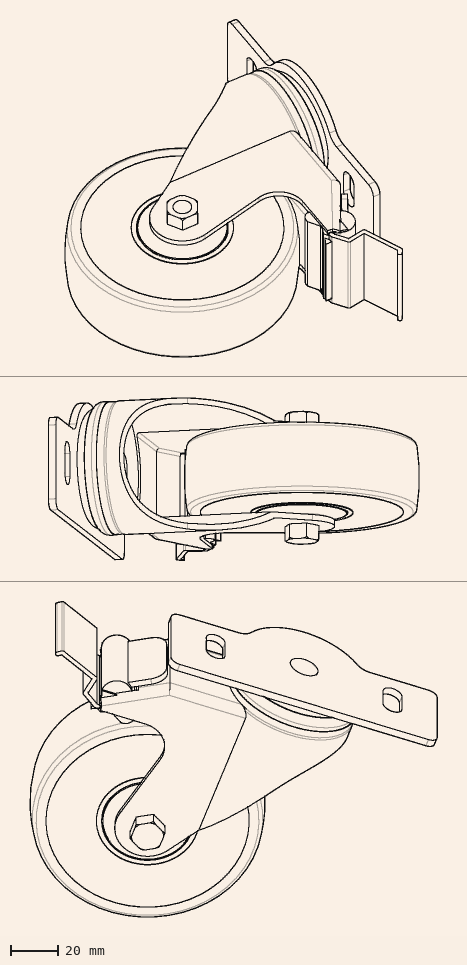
import cadquery as cq
import math


PLATE_LENGTH = 120.0
PLATE_HEIGHT = 40.0
PLATE_THICKNESS = 3.3
PLATE_CORNER_R = 4.0
BUMP_R = 28.2
BUMP_FILLET_R = 7.0
SLOT_SPACING = 79.7
SLOT_WIDTH = 8.5
SLOT_LENGTH = 18.5
SLOT_Z = -5.0
DOME_TOP_R = 22.9
DOME_BASE_R = 25.98
DOME_BASE_Y = -7.3
RING_TOP_R = 26.4
RING_R = 28.47
RING_EDGE_Y = -11.0
RING_BOTTOM_Y = -13.1
KINGPIN_BORE_D = 12.5
KINGPIN_RELIEF_D = 13.1
KINGPIN_RELIEF_DEPTH = 1.0

SHEET = 2.5
FORK_R = 28.47
FORK_HALF_WIDTH = 21.0
FORK_NECK_R = 28.2
FORK_TOP_Y = -16.5
FORK_NECK_LIP = 1.0
RACE_BOTTOM_Y = -18.0
BEND_OUTER_R = 3.8
KINK_X = 54.6
WEB_SLOPE = 30.0
WEB_SLOPE_LENGTH = 30.2
NOSE_X = 78.5
NOSE_BOTTOM_Y = -37.2
FRONT_RIM_Y = -23.2
FRONT_EDGE_SLOPE = 57.0
FRONT_EDGE_TOP_X = -2.3
BACK_EDGE_LEAN = 13.0
BACK_FILLET_R = 12.0
LOBE_R = 14.0
WEB_SLOT_X = 66.4

AXLE_X = 40.0
AXLE_Y = -86.0
WHEEL_R = 50.0
SHOULDER_R = 49.0
SHOULDER_Z = 13.3
EDGE_MIDDLE_R = 48.5
EDGE_MIDDLE_Z = 14.3
FACE_OUTER_R = 47.3
FACE_Z = 14.8
CORE_R = 43.2
CORE_Z = 15.0
BOSS_R = 21.7
BOSS_Z = 15.3
GROOVE_OUTER_R = 19.5
GROOVE_INNER_R = 19.0
GROOVE_DEPTH = 1.0
CONE_BASE_Z = 15.5
CONE_TOP_R = 12.1
CONE_TOP_Z = 17.8
SPACER_R = 9.71
BOLT_D = 8.0
HEX_ACROSS_FLATS = 13.0
HEX_HEIGHT = 6.5
HEX_CHAMFER = 0.7

LEVER_HALF_WIDTH = 19.5
HUB_X = 74.4
HUB_Y = -28.5
HUB_R = 6.55
TAB_HALF_WIDTH = 16.6
TAB_THICKNESS = 2.7
TAB_GAP = 0.3
TAB_CORNER_R = 6.8
TAB_START = 1.0
TAB_LENGTH = 18.3
PEDAL_HALF_WIDTH = 20.0
PEDAL_THICKNESS = 2.0
LIP_HALF_WIDTH = 17.1

CHEEK_INNER_Z = FORK_HALF_WIDTH - SHEET
FORK_INNER_R = FORK_R - SHEET
SLOPE_COS = math.cos(math.radians(WEB_SLOPE))
SLOPE_SIN = math.sin(math.radians(WEB_SLOPE))
FAR = 166.0

WEB_END_X = KINK_X + WEB_SLOPE_LENGTH * SLOPE_COS
WEB_END_Y = FORK_TOP_Y - WEB_SLOPE_LENGTH * SLOPE_SIN


def slab(points, half_width):
    """Prism with an XY outline, centred on the wheel's mid plane."""
    return cq.Workplane("XY").polyline(points).close().extrude(half_width, both=True)


def disc(radius, top_y, bottom_y):
    """Cylinder about the swivel axis."""
    return cq.Workplane("XZ", origin=(0, top_y, 0)).circle(radius).extrude(top_y - bottom_y)


def bump_fillet():
    """Material in the concave corners where the plate's straight edge meets its round bulge."""
    edge_z = PLATE_HEIGHT - BUMP_R
    centre_z = edge_z + BUMP_FILLET_R
    reach = BUMP_R + BUMP_FILLET_R
    centre_x = math.sqrt(reach**2 - centre_z**2)
    ratio = BUMP_R / reach
    touch = (centre_x * ratio, centre_z * ratio)
    middle_angle = (math.pi / 2 + math.atan2(centre_z, centre_x)) / 2
    middle_x = centre_x - BUMP_FILLET_R * math.cos(middle_angle)
    middle_z = centre_z - BUMP_FILLET_R * math.sin(middle_angle)
    corner = (
        cq.Workplane("XZ")
        .moveTo(0, 0)
        .lineTo(*touch)
        .threePointArc((middle_x, middle_z), (centre_x, edge_z))
        .lineTo(centre_x, 0)
        .close()
        .extrude(PLATE_THICKNESS)
    )
    return corner.union(corner.mirror("YZ"))


def make_plate():
    middle_z = PLATE_HEIGHT / 2 - BUMP_R
    plate = (
        cq.Workplane("XZ")
        .center(0, middle_z)
        .rect(PLATE_LENGTH, PLATE_HEIGHT)
        .extrude(PLATE_THICKNESS)
        .edges("|Y")
        .fillet(PLATE_CORNER_R)
    )
    plate = plate.union(disc(BUMP_R, 0, -PLATE_THICKNESS)).union(bump_fillet())
    slots = (
        cq.Workplane("XZ")
        .pushPoints([(-SLOT_SPACING / 2, SLOT_Z), (SLOT_SPACING / 2, SLOT_Z)])
        .slot2D(SLOT_LENGTH, SLOT_WIDTH, 90)
        .extrude(PLATE_THICKNESS)
    )
    race = (
        cq.Workplane("XY")
        .moveTo(0, -PLATE_THICKNESS)
        .lineTo(DOME_TOP_R, -PLATE_THICKNESS)
        .threePointArc((25.0, -5.1), (DOME_BASE_R, DOME_BASE_Y))
        .lineTo(RING_TOP_R, DOME_BASE_Y)
        .threePointArc((27.9, -8.8), (RING_R, RING_EDGE_Y))
        .lineTo(RING_R, RING_BOTTOM_Y)
        .lineTo(0, RING_BOTTOM_Y)
        .close()
        .revolve(360, (0, 0, 0), (0, 1, 0))
    )
    bore = disc(KINGPIN_BORE_D / 2, 0, RING_BOTTOM_Y)
    relief = disc(KINGPIN_RELIEF_D / 2, RING_BOTTOM_Y + KINGPIN_RELIEF_DEPTH, RING_BOTTOM_Y)
    return plate.cut(slots).union(race).cut(bore).cut(relief)


def fork_side_outline():
    """Side silhouette of the fork: front edge, lobe around the axle, back edge, nose and top."""
    front = math.radians(FRONT_EDGE_SLOPE)
    back = math.radians(BACK_EDGE_LEAN)
    front_touch = (AXLE_X - LOBE_R * math.sin(front), AXLE_Y - LOBE_R * math.cos(front))
    back_touch = (AXLE_X + LOBE_R * math.cos(back), AXLE_Y + LOBE_R * math.sin(back))
    front_top_y = front_touch[1] + (front_touch[0] - FRONT_EDGE_TOP_X) * math.tan(front)
    corner_x = back_touch[0] - (NOSE_BOTTOM_Y - back_touch[1]) * math.tan(back)
    setback = BACK_FILLET_R * math.tan((math.pi / 2 + back) / 2)
    fillet_low = (corner_x + setback * math.sin(back), NOSE_BOTTOM_Y - setback * math.cos(back))
    return (
        cq.Workplane("XY")
        .moveTo(FAR, NOSE_BOTTOM_Y)
        .lineTo(corner_x + setback, NOSE_BOTTOM_Y)
        .tangentArcPoint(fillet_low, relative=False)
        .lineTo(*back_touch)
        .threePointArc((AXLE_X, AXLE_Y - LOBE_R), front_touch)
        .lineTo(FRONT_EDGE_TOP_X, front_top_y)
        .tangentArcPoint((-FORK_R, FRONT_RIM_Y), relative=False)
        .lineTo(-FORK_R, RING_BOTTOM_Y)
        .lineTo(FAR, RING_BOTTOM_Y)
        .close()
        .extrude(FORK_R, both=True)
    )


def bent_sheet_box(drop, half_width, bend_r):
    """Box under the top web, `drop` below its outer face, with rounded bends along both sides."""
    kink_x = KINK_X - drop * math.tan(math.radians(WEB_SLOPE / 2))
    top_y = FORK_TOP_Y - drop
    slope_length = (FAR - kink_x) / SLOPE_COS
    box = slab(
        [
            (0, top_y),
            (kink_x, top_y),
            (FAR, top_y - slope_length * SLOPE_SIN),
            (FAR, -FAR),
            (0, -FAR),
        ],
        half_width,
    )
    return box.edges("(>Y and |X) or (not(|X or |Y or |Z))").fillet(bend_r)


def make_fork():
    swivel_shell = disc(FORK_R, FORK_TOP_Y - FORK_NECK_LIP, -FAR)
    neck = disc(FORK_NECK_R, RING_BOTTOM_Y, FORK_TOP_Y)
    neck = neck.faces("<Y").workplane().circle(FORK_NECK_R).workplane(offset=FORK_NECK_LIP)
    neck = neck.circle(FORK_R).loft(ruled=True)
    web_end = slab(
        [
            (WEB_END_X, WEB_END_Y),
            (WEB_END_X - BEND_OUTER_R * SLOPE_SIN, WEB_END_Y - BEND_OUTER_R * SLOPE_COS),
            (NOSE_X, NOSE_BOTTOM_Y),
            (NOSE_X, -FAR),
            (FAR, -FAR),
            (FAR, WEB_END_Y),
        ],
        FORK_R,
    )
    sheet_body = bent_sheet_box(0, FORK_HALF_WIDTH, BEND_OUTER_R).cut(web_end)
    body = swivel_shell.union(neck).union(sheet_body).intersect(fork_side_outline())

    race_recess = disc(FORK_INNER_R, RACE_BOTTOM_Y, -FAR)
    cavity = bent_sheet_box(SHEET, CHEEK_INNER_Z, BEND_OUTER_R - SHEET)
    web_slot = slab([(WEB_SLOT_X, 0), (FAR, 0), (FAR, -FAR), (WEB_SLOT_X, -FAR)], CHEEK_INNER_Z)
    kingpin_bore = disc(KINGPIN_BORE_D / 2, 0, -FAR)
    axle_bore = cq.Workplane("XY").center(AXLE_X, AXLE_Y).circle(BOLT_D / 2).extrude(FAR, both=True)
    return body.cut(race_recess).cut(cavity).cut(web_slot).cut(kingpin_bore).cut(axle_bore)


def make_wheel():
    """Crowned wheel with a raised core, hub boss and domed spacer, bored for the bolt."""
    bore_r = BOLT_D / 2
    side_steps = [
        (bore_r, CHEEK_INNER_Z),
        (SPACER_R, CHEEK_INNER_Z),
        (CONE_TOP_R, CONE_TOP_Z),
        (GROOVE_INNER_R, CONE_BASE_Z),
        (GROOVE_INNER_R, BOSS_Z - GROOVE_DEPTH),
        (GROOVE_OUTER_R, BOSS_Z - GROOVE_DEPTH),
        (GROOVE_OUTER_R, BOSS_Z),
        (BOSS_R, BOSS_Z),
        (BOSS_R, CORE_Z),
        (CORE_R, CORE_Z),
        (CORE_R, FACE_Z),
        (FACE_OUTER_R, FACE_Z),
    ]
    far_steps = [(r, -z) for r, z in reversed(side_steps)]
    profile = (
        cq.Workplane("XZ")
        .polyline(side_steps)
        .threePointArc((EDGE_MIDDLE_R, EDGE_MIDDLE_Z), (SHOULDER_R, SHOULDER_Z))
        .threePointArc((WHEEL_R, 0), (SHOULDER_R, -SHOULDER_Z))
        .threePointArc((EDGE_MIDDLE_R, -EDGE_MIDDLE_Z), far_steps[0])
        .polyline(far_steps, includeCurrent=False)
        .close()
    )
    return profile.revolve(360, (0, 0, 0), (0, 1, 0)).translate((AXLE_X, AXLE_Y, 0))


def hexagon():
    """Hexagon standing on a cheek (+Z side), two corners pointing along Y, outer corners chamfered."""
    corner_d = HEX_ACROSS_FLATS / math.cos(math.pi / 6)
    prism = cq.Workplane("XY").polygon(6, corner_d).extrude(HEX_HEIGHT).rotate((0, 0, 0), (0, 0, 1), 90)
    cone = cq.Workplane("XY").circle(corner_d / 2).extrude(HEX_HEIGHT).faces(">Z").chamfer(HEX_CHAMFER)
    return prism.intersect(cone).translate((AXLE_X, AXLE_Y, FORK_HALF_WIDTH))


def shank():
    length = 2 * FORK_HALF_WIDTH + HEX_HEIGHT
    start = cq.Workplane("XY", origin=(AXLE_X, AXLE_Y, -FORK_HALF_WIDTH))
    return start.circle(BOLT_D / 2).extrude(length)


def make_bolt():
    return hexagon().mirror("XY").union(shank())


def make_nut():
    return hexagon().cut(shank())


def lever_tab():
    """Flat tongue lying just above the sloping web, its free corners rounded."""
    tab = (
        cq.Workplane("XY")
        .box(TAB_LENGTH, TAB_THICKNESS, 2 * TAB_HALF_WIDTH, centered=(False, False, True))
        .edges("<X and |Y")
        .fillet(TAB_CORNER_R)
    )
    tab = tab.translate((TAB_START, TAB_GAP, 0)).rotate((0, 0, 0), (0, 0, 1), -WEB_SLOPE)
    return tab.translate((KINK_X, FORK_TOP_Y, 0))


def lever_block():
    """Rocking block between the cheeks: a ledge, a brake lobe facing the wheel and the nose end."""
    return (
        cq.Workplane("XY")
        .moveTo(WEB_SLOT_X, HUB_Y)
        .lineTo(WEB_SLOT_X, -30.2)
        .lineTo(58.5, -30.2)
        .lineTo(58.5, -31.4)
        .lineTo(64.9, -31.4)
        .lineTo(63.4, -37.8)
        .threePointArc((65.2, -40.3), (68.2, -40.8))
        .lineTo(73.4, -37.5)
        .lineTo(74.7, -37.5)
        .lineTo(78.0, -38.8)
        .lineTo(80.3, -37.2)
        .lineTo(79.3, -34.4)
        .lineTo(HUB_X + HUB_R, HUB_Y)
        .close()
        .extrude(LEVER_HALF_WIDTH, both=True)
    )


def pedal():
    """Cranked foot plate of constant thickness following its centre line."""
    centre_line = [(80.0, -36.4), (81.2, -36.2), (87.3, -31.9), (86.0, -23.5), (103.3, -16.1), (104.9, -17.3)]
    return (
        cq.Workplane("XY")
        .polyline(centre_line)
        .offset2D(PEDAL_THICKNESS / 2)
        .extrude(PEDAL_HALF_WIDTH, both=True)
    )


def make_lever(fork):
    hub = cq.Workplane("XY").center(HUB_X, HUB_Y).circle(HUB_R).extrude(CHEEK_INNER_Z, both=True)
    lip = slab([(75.5, -37.2), (81.8, -40.0), (81.8, -36.9)], LIP_HALF_WIDTH)
    lever = lever_block().union(hub).union(lever_tab()).union(lip).union(pedal())
    return lever.cut(fork)


plate = make_plate()
fork = make_fork()
wheel = make_wheel()
bolt = make_bolt()
nut = make_nut()
lever = make_lever(fork)

result = cq.Compound.makeCompound(
    [body.solids().val() for body in (plate, fork, wheel, bolt, nut, lever)]
)